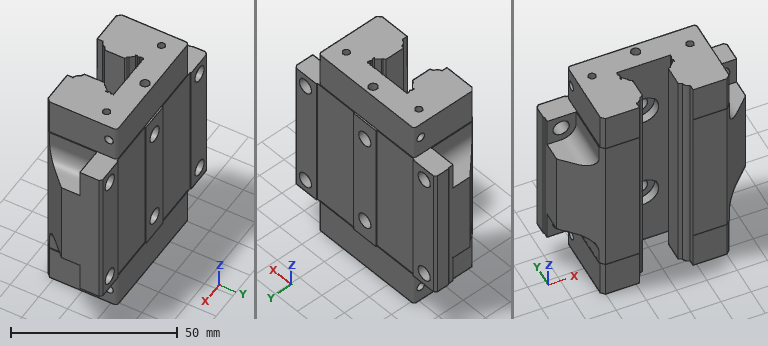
import cadquery as cq
import math


length = 75.0
saddle_length = 49.5
cap_length = (length - saddle_length) / 2
height = 25.35
half_width = 31.5

core_half_width = 21.6
core_top = 25.0
pad_half_width = 5.0
flange_chamfer = 0.8
skirt_height = 11.4
lip_step = 0.3
lip_bottom = 20.0
lip_slope_height = 0.5

pocket_top = 17.85
pocket_length = 9.8
pocket_radius = 5.0

cap_half_width = 21.3
cap_top = 24.75
cap_bottom = 0.11
cap_fillet = 1.05
cap_chamfer = 1.2

channel_half_width = 8.85
channel_top = 16.3
land_half_width = 5.9
land_bottom = 4.35
land_top = 11.4
seal_inner_x = 7.05
seal_bottom = 2.1
seal_top = 3.8
seal_bulge = 0.345
shoulder_x = 6.75
shoulder_y = 11.8
flank_inner_x = 7.0
flank_outer_x = 8.5
flank_top = 13.8
groove_bottom = 13.4
rib_tip_x = 8.55
rib_bottom = 14.2
rib_top = 15.3
rib_slope_height = 0.3

screw_diameter = 5.4
corner_screw_x = 26.55
corner_screw_z = 20.0
middle_screw_z = 17.5
counterbore_diameter = 10.0
counterbore_depth = 3.0
lube_diameter = 3.0
lube_y = 22.0
lube_from_end = 5.6
cap_screw_diameter = 2.4
cap_screw_depth = 6.0
cap_screw_x = 16.2
cap_screw_y = 18.15
drill_tip_angle = 118.0


def along_z(outline, depth):
    """Extrude an XY outline along Z, centred on Z = 0."""
    return outline.extrude(depth / 2, both=True)


def y_cylinder(diameter, x, z, y_from, y_to):
    base = cq.Vector(x, y_from, z)
    return cq.Workplane(cq.Solid.makeCylinder(diameter / 2, y_to - y_from, base, cq.Vector(0, 1, 0)))


def make_saddle():
    foot_x = half_width - skirt_height
    skirt_x = half_width - lip_step
    outline = (
        cq.Workplane("XY")
        .moveTo(-foot_x, 0)
        .lineTo(foot_x, 0)
        .lineTo(half_width, skirt_height)
        .lineTo(half_width, height - flange_chamfer)
        .lineTo(half_width - flange_chamfer, height)
        .lineTo(core_half_width, height)
        .lineTo(core_half_width, core_top)
        .lineTo(pad_half_width, core_top)
        .lineTo(pad_half_width, height)
        .lineTo(-pad_half_width, height)
        .lineTo(-pad_half_width, core_top)
        .lineTo(-core_half_width, core_top)
        .lineTo(-core_half_width, height)
        .lineTo(-half_width + flange_chamfer, height)
        .lineTo(-half_width, height - flange_chamfer)
        .lineTo(-half_width, lip_bottom)
        .lineTo(-skirt_x, lip_bottom - lip_slope_height)
        .lineTo(-skirt_x, skirt_height - lip_step)
        .close()
    )
    saddle = along_z(outline, saddle_length)
    for side_x in (-1, 1):
        for side_z in (-1, 1):
            saddle = saddle.cut(make_pocket(side_x, side_z))
    return saddle


def make_pocket(side_x, side_z):
    """Corner cutter with a rounded inner corner, oversized towards the outside."""
    size = 2 * pocket_length
    inner_z = saddle_length / 2 - pocket_length
    return (
        cq.Workplane("XY")
        .box(size, pocket_top, size)
        .edges("|Y")
        .fillet(pocket_radius)
        .translate((
            side_x * (core_half_width + size / 2),
            pocket_top / 2,
            side_z * (inner_z + size / 2),
        ))
    )


def make_cap(side_z):
    cap_height = cap_top - cap_bottom
    cap_z = side_z * (saddle_length + cap_length) / 2
    return (
        cq.Workplane("XY")
        .box(2 * cap_half_width, cap_height, cap_length)
        .edges("|Z and >Y")
        .fillet(cap_fillet)
        .edges("|Z and <Y")
        .chamfer(cap_chamfer)
        .translate((0, cap_bottom + cap_height / 2, cap_z))
    )


def make_channel_half():
    """The +X half of the channel: raceway land, rounded seal below it and sealing rib above it."""
    seal_chord_x = channel_half_width - seal_inner_x
    seal_chord_y = seal_top - seal_bottom
    seal_chord = math.hypot(seal_chord_x, seal_chord_y)
    seal_middle = (
        (seal_inner_x + channel_half_width) / 2 - seal_bulge * seal_chord_y / seal_chord,
        (seal_top + seal_bottom) / 2 - seal_bulge * seal_chord_x / seal_chord,
    )
    outline = (
        cq.Workplane("XY")
        .lineTo(channel_half_width, 0)
        .lineTo(channel_half_width, seal_bottom)
        .threePointArc(seal_middle, (seal_inner_x, seal_top))
        .lineTo(land_half_width, land_bottom)
        .lineTo(land_half_width, land_top)
        .lineTo(shoulder_x, shoulder_y)
        .lineTo(flank_inner_x, flank_top - (flank_outer_x - flank_inner_x))
        .lineTo(flank_outer_x, flank_top)
        .lineTo(channel_half_width, groove_bottom)
        .lineTo(channel_half_width, rib_bottom)
        .lineTo(rib_tip_x, rib_bottom + rib_slope_height)
        .lineTo(rib_tip_x, rib_top - rib_slope_height)
        .lineTo(channel_half_width, rib_top)
        .lineTo(channel_half_width, channel_top)
        .lineTo(0, channel_top)
        .close()
    )
    return along_z(outline, length)


def make_cap_screw_hole(side_x, side_z):
    """Blind hole with a drill point, entering the end face."""
    radius = cap_screw_diameter / 2
    tip = radius / math.tan(math.radians(drill_tip_angle / 2))
    return (
        cq.Workplane("XZ")
        .lineTo(radius, 0)
        .lineTo(radius, -cap_screw_depth)
        .lineTo(0, -cap_screw_depth - tip)
        .close()
        .revolve(360, (0, 0, 0), (0, 1, 0))
        .rotate((0, 0, 0), (1, 0, 0), 0 if side_z > 0 else 180)
        .translate((side_x * cap_screw_x, cap_screw_y, side_z * length / 2))
    )


def make_lube_holes(side_z):
    """Cross hole through the end cap, met by a hole from the middle of the end face."""
    radius = lube_diameter / 2
    cross_z = side_z * (length / 2 - lube_from_end)
    cross = cq.Solid.makeCylinder(
        radius, 2 * cap_half_width, cq.Vector(-cap_half_width, lube_y, cross_z), cq.Vector(1, 0, 0)
    )
    entry = cq.Solid.makeCylinder(
        radius, lube_from_end, cq.Vector(0, lube_y, cross_z), cq.Vector(0, 0, side_z)
    )
    return cq.Workplane(cross).union(cq.Workplane(entry))


counterbore_end = channel_top + counterbore_depth

result = make_saddle()
for end in (-1, 1):
    result = result.union(make_cap(end))

channel_half = make_channel_half()
result = result.cut(channel_half).cut(channel_half.mirror("YZ"))

for end in (-1, 1):
    result = result.cut(make_lube_holes(end))
    middle_z = end * middle_screw_z
    result = result.cut(y_cylinder(screw_diameter, 0, middle_z, 0, height))
    result = result.cut(y_cylinder(counterbore_diameter, 0, middle_z, channel_top, counterbore_end))
    for side in (-1, 1):
        result = result.cut(make_cap_screw_hole(side, end))
        corner_x = side * corner_screw_x
        result = result.cut(y_cylinder(screw_diameter, corner_x, end * corner_screw_z, 0, height))